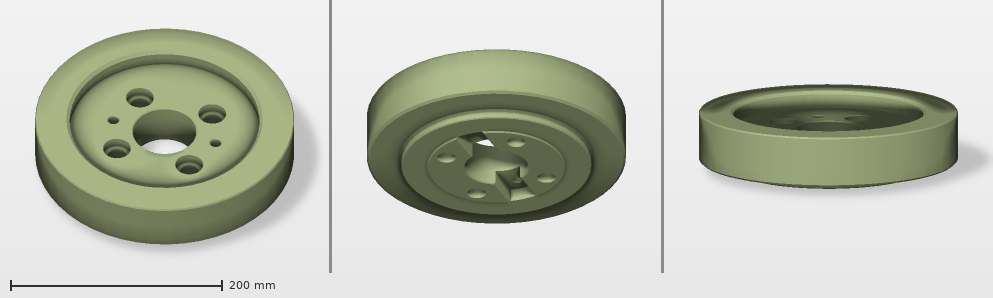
import cadquery as cq
import math

total_height = 58.0
pad_height = 1.5
rim_bottom = 10.0
recess_depth = 16.0
recess_floor = total_height - recess_depth

outer_radius = 122.7
rim_bottom_chamfer_width = 2.5
rim_bottom_chamfer_height = 2.0
rim_top_chamfer_width = 1.0
rim_top_chamfer_height = 1.5
neck_radius = 90.0
neck_corner = 2.0
neck_chamfer = 1.0
pad_radius = 65.5
pad_chamfer = 1.0

recess_radius = 90.0
recess_chamfer = 3.0
bore_radius = 30.0
bore_chamfer = 1.0

slot_width = 25.7
slot_depth = 14.0
slot_chamfer = 1.5

pitch_radius = 101.6 / 2
bolt_diameter = 18.0
counterbore_diameter = 26.0
counterbore_depth = 10.0
counterbore_chamfer = 0.5
bolt_angles = (45, 135, 225, 315)
tapped_diameter = 10.2
tapped_chamfer = 1.2
tapped_angles = (0, 180)


def make_body():
    """Revolve the wheel section: rim, neck, seat disc, recess and bore."""
    section = (
        cq.Workplane("XZ")
        .moveTo(bore_radius, bore_chamfer)
        .lineTo(bore_radius + bore_chamfer, 0)
        .lineTo(pad_radius - pad_chamfer, 0)
        .lineTo(pad_radius, pad_chamfer)
        .lineTo(pad_radius, pad_height)
        .lineTo(neck_radius - neck_chamfer, pad_height)
        .lineTo(neck_radius, pad_height + neck_chamfer)
        .lineTo(neck_radius, rim_bottom - neck_corner)
        .lineTo(neck_radius + neck_corner, rim_bottom)
        .lineTo(outer_radius - rim_bottom_chamfer_width, rim_bottom)
        .lineTo(outer_radius, rim_bottom + rim_bottom_chamfer_height)
        .lineTo(outer_radius, total_height - rim_top_chamfer_height)
        .lineTo(outer_radius - rim_top_chamfer_width, total_height)
        .lineTo(recess_radius + recess_chamfer, total_height)
        .lineTo(recess_radius, total_height - recess_chamfer)
        .lineTo(recess_radius, recess_floor)
        .lineTo(bore_radius + bore_chamfer, recess_floor)
        .lineTo(bore_radius, recess_floor - bore_chamfer)
        .close()
    )
    return section.revolve(360, (0, 0, 0), (0, 1, 0))


def make_slot():
    """Drive slot along X, chamfered at its mouth and ending at the seat disc's edge."""
    half_width = slot_width / 2
    slot = (
        cq.Workplane("YZ")
        .moveTo(-half_width - slot_chamfer, 0)
        .lineTo(half_width + slot_chamfer, 0)
        .lineTo(half_width, slot_chamfer)
        .lineTo(half_width, slot_depth)
        .lineTo(-half_width, slot_depth)
        .lineTo(-half_width, slot_chamfer)
        .close()
        .extrude(pad_radius, both=True)
    )
    seat_cylinder = cq.Workplane("XY").circle(pad_radius).extrude(slot_depth)
    return slot.intersect(seat_cylinder)


def pitch_point(angle):
    """Point on the pitch circle at an angle in degrees from +X."""
    turn = math.radians(angle)
    return (pitch_radius * math.cos(turn), pitch_radius * math.sin(turn))


def make_countersunk_cylinder(radius, depth, chamfer):
    """Cutter hanging down from the recess floor, widened by a chamfer at its mouth."""
    return (
        cq.Workplane("XZ")
        .moveTo(0, recess_floor)
        .lineTo(radius + chamfer, recess_floor)
        .lineTo(radius, recess_floor - chamfer)
        .lineTo(radius, recess_floor - depth)
        .lineTo(0, recess_floor - depth)
        .close()
        .revolve(360, (0, 0, 0), (0, 1, 0))
    )


def make_bolt_hole():
    """Through hole with a chamfered counterbore."""
    counterbore = make_countersunk_cylinder(
        counterbore_diameter / 2, counterbore_depth, counterbore_chamfer
    )
    shank = cq.Workplane("XY").circle(bolt_diameter / 2).extrude(recess_floor)
    return counterbore.union(shank)


def cut_on_pitch_circle(body, cutter, angles):
    """Cut a copy of the cutter at each angle on the pitch circle."""
    for angle in angles:
        x, y = pitch_point(angle)
        body = body.cut(cutter.translate((x, y, 0)))
    return body


result = make_body().cut(make_slot())
result = cut_on_pitch_circle(result, make_bolt_hole(), bolt_angles)
tapped_hole = make_countersunk_cylinder(tapped_diameter / 2, recess_floor, tapped_chamfer)
result = cut_on_pitch_circle(result, tapped_hole, tapped_angles)